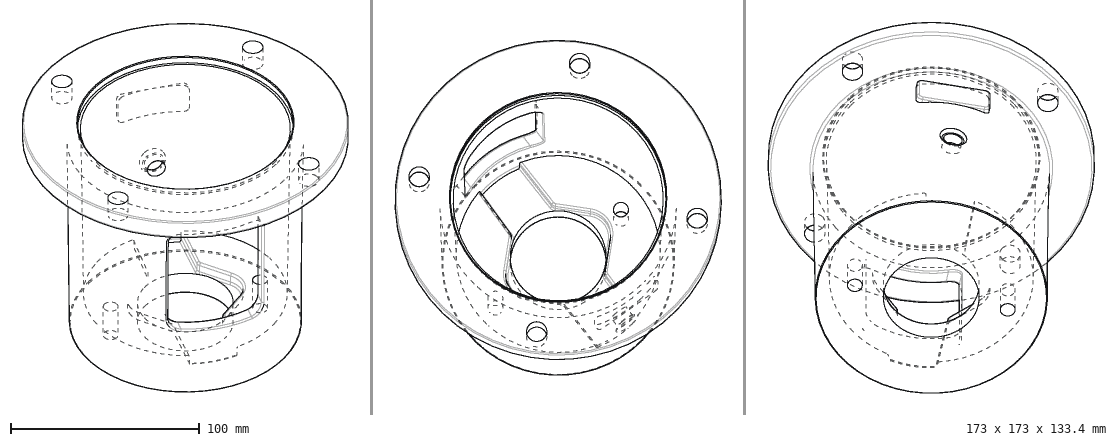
import cadquery as cq

total_height = 133.35
flange_dia = 172.97
flange_thick = 10.9
flange_top_round = 0.7
flange_bottom_round = 1.3
bolt_circle_dia = 149.2
bolt_hole_dia = 10.8
bolt_count = 4
bolt_angle = 45

wall_top_radius = 62.8
wall_bottom_radius = 61.6
neck_fillet = 1.6
base_chamfer = 0.5

pilot_dia = 114.3
pilot_depth = 4.0
pilot_chamfer = 0.5
bore_top_radius = 55.7
bore_floor_radius = 54.1
floor_fillet = 1.2

floor_thick = 19.05
recess_depth = 6.35
recess_edge_round = 1.1
shaft_hole_dia = 50.8
mount_hole_dia = 7.9
mount_circle_dia = 82.55
mount_hole_count = 2
mount_angle = 90
diamond_corner = 36.7
diamond_tip_radius = 12.7
channel_half_width = 13.6
channel_end_half_width = 12.9
channel_corner_radius = 3.0
recess_lip_round = 1.2

window_bottom = 42.2
window_top = 106.4
window_width = 51.6
window_corner_radius = 6.35
window_edge_round = 0.9

side_hole_height = 62.0
side_hole_dia = 9.9
side_countersink_dia = 15.3
side_countersink_inner_dia = 11.8
side_countersink_depth = 1.75
pad_height_center = 101.2
pad_width = 39.4
pad_height = 17.2
pad_face_x = 63.2
pad_back_x = 57.0
pad_corner_radius = 3.0
pad_edge_round = 1.0

flange_bottom = total_height - flange_thick
pilot_floor = total_height - pilot_depth
recess_floor = floor_thick - recess_depth
pick_margin = 0.1
bore_slope = (bore_top_radius - bore_floor_radius) / (pilot_floor - floor_thick)


def bore_radius(z):
    return bore_floor_radius + bore_slope * (z - floor_thick)


def edge_box(half_x, half_y, z_low, z_high):
    """Selects the edges whose centers lie in a box centered on the Z axis."""
    return cq.selectors.BoxSelector(
        (-half_x - pick_margin, -half_y - pick_margin, z_low - pick_margin),
        (half_x + pick_margin, half_y + pick_margin, z_high + pick_margin),
    )


def housing_blank():
    wall = (
        cq.Workplane("XZ")
        .moveTo(0, 0)
        .lineTo(wall_bottom_radius - base_chamfer, 0)
        .lineTo(wall_bottom_radius, base_chamfer)
        .lineTo(wall_top_radius, flange_bottom)
        .lineTo(flange_dia / 2, flange_bottom)
        .lineTo(flange_dia / 2, total_height)
        .lineTo(0, total_height)
        .close()
        .revolve(360, (0, 0), (0, 1))
    )
    largest = cq.selectors.RadiusNthSelector(-1)
    smallest = cq.selectors.RadiusNthSelector(0)
    underside = edge_box(flange_dia, flange_dia, flange_bottom, flange_bottom)
    wall = wall.edges(">Z").fillet(flange_top_round)
    wall = wall.edges(underside).edges(largest).fillet(flange_bottom_round)
    return wall.edges(underside).edges(smallest).fillet(neck_fillet)


def bore_solid(bottom):
    bore = (
        cq.Workplane("XZ")
        .moveTo(0, bottom)
        .lineTo(bore_radius(bottom), bottom)
        .lineTo(bore_top_radius, pilot_floor)
        .lineTo(0, pilot_floor)
        .close()
        .revolve(360, (0, 0), (0, 1))
    )
    return bore.faces("<Z").edges().fillet(floor_fillet)


def pilot_recess():
    recess = cq.Workplane("XY").workplane(offset=pilot_floor).circle(pilot_dia / 2).extrude(pilot_depth)
    lead_in = (
        cq.Workplane("XY")
        .workplane(offset=total_height)
        .circle(pilot_dia / 2 + pilot_chamfer)
        .workplane(offset=-pilot_chamfer)
        .circle(pilot_dia / 2)
        .loft()
    )
    return recess.union(lead_in)


def floor_recess():
    """Diamond around the shaft hole, crossed by a channel along X that ends at the bore wall."""
    plane = cq.Workplane("XY").workplane(offset=recess_floor)
    diamond = (
        plane.polyline(
            [(diamond_corner, 0), (0, diamond_corner), (-diamond_corner, 0), (0, -diamond_corner)]
        )
        .close()
        .extrude(recess_depth)
        .edges("|Z and (>Y or <Y)")
        .fillet(diamond_tip_radius)
    )
    reach = wall_bottom_radius
    disk_radius = (bore_floor_radius + wall_bottom_radius) / 2
    neck_x = diamond_corner - channel_half_width
    channel = (
        plane.polyline(
            [
                (reach, channel_end_half_width),
                (neck_x, channel_half_width),
                (-neck_x, channel_half_width),
                (-reach, channel_end_half_width),
                (-reach, -channel_end_half_width),
                (-neck_x, -channel_half_width),
                (neck_x, -channel_half_width),
                (reach, -channel_end_half_width),
            ]
        )
        .close()
        .extrude(recess_depth)
    )
    inner_corners = edge_box(neck_x, channel_half_width, recess_floor, floor_thick)
    outline = diamond.union(channel).edges("|Z").edges(inner_corners).fillet(channel_corner_radius)
    outline = outline.faces("<Z").edges("not(>X or <X)").fillet(recess_edge_round)

    pads = cq.Workplane("XY").circle(disk_radius).extrude(floor_thick).cut(outline)
    lip = edge_box(disk_radius, diamond_corner, floor_thick, floor_thick)
    pads = pads.faces(">Z").edges(lip).fillet(recess_lip_round)
    return bore_solid(recess_floor).cut(pads)


def vertical_holes(dia, circle_dia, count, first_angle, bottom, top):
    return (
        cq.Workplane("XY")
        .workplane(offset=bottom)
        .polarArray(circle_dia / 2, first_angle, 360, count)
        .circle(dia / 2)
        .extrude(top - bottom)
    )


def window_cutter():
    return (
        cq.Workplane("YZ")
        .center(0, (window_bottom + window_top) / 2)
        .rect(window_width, window_top - window_bottom)
        .extrude(flange_dia / 2)
        .edges("|X")
        .fillet(window_corner_radius)
    )


def side_hole_cutter():
    surface_x = wall_bottom_radius + (wall_top_radius - wall_bottom_radius) * side_hole_height / flange_bottom
    profile = (
        cq.Workplane("XY")
        .workplane(offset=side_hole_height)
        .moveTo(0, 0)
        .lineTo(-flange_dia / 2, 0)
        .lineTo(-flange_dia / 2, side_countersink_dia / 2)
        .lineTo(-surface_x, side_countersink_dia / 2)
        .lineTo(-surface_x + side_countersink_depth, side_countersink_inner_dia / 2)
        .lineTo(-surface_x + side_countersink_depth, side_hole_dia / 2)
        .lineTo(0, side_hole_dia / 2)
        .close()
    )
    return profile.revolve(360, (0, 0), (1, 0))


def name_pad():
    return (
        cq.Workplane("YZ", origin=(-pad_face_x, 0, pad_height_center))
        .rect(pad_width, pad_height)
        .extrude(pad_face_x - pad_back_x)
        .edges("|X")
        .fillet(pad_corner_radius)
        .faces("<X")
        .edges()
        .fillet(pad_edge_round)
    )


def round_window_edges(body):
    """Rounds the window's edges where it meets the bore and the outside of the wall."""
    half_width = window_width / 2
    frame = cq.selectors.BoxSelector(
        (0, -half_width - pick_margin, window_bottom - pick_margin),
        (flange_dia / 2, half_width + pick_margin, window_top + pick_margin),
    )
    return body.edges(frame).edges("not |X").fillet(window_edge_round)


housing = housing_blank().union(name_pad())
housing = housing.cut(bore_solid(floor_thick)).cut(pilot_recess()).cut(floor_recess())
housing = round_window_edges(housing.cut(window_cutter()))
housing = housing.cut(cq.Workplane("XY").circle(shaft_hole_dia / 2).extrude(floor_thick))
housing = housing.cut(
    vertical_holes(mount_hole_dia, mount_circle_dia, mount_hole_count, mount_angle, 0, floor_thick)
)
housing = housing.cut(
    vertical_holes(bolt_hole_dia, bolt_circle_dia, bolt_count, bolt_angle, flange_bottom, total_height)
)
result = housing.cut(side_hole_cutter())